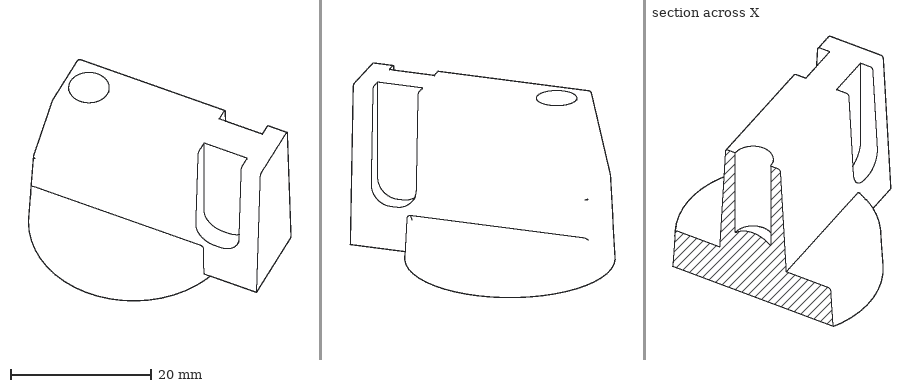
import cadquery as cq
import math

LENGTH = 37.03
HEIGHT = 25.5
BASE_RADIUS = 15.0
BASE_HEIGHT = 6.95
SIDE_DRAFT = math.tan(math.radians(3))
EDGE_ROUND = 0.48

GRIP_TOP_WIDTH = 9.07
GRIP_BOTTOM_Z = 1.4
NOSE_TOP_X = 4.22 - BASE_RADIUS
NOSE_SLOPE = math.tan(math.radians(12))

SLOT_START_X = 27.25 - BASE_RADIUS
SLOT_WIDTH = 6.78
SLOT_BOTTOM_Z = 7.92
SLOT_CORNER_RADIUS = 2.95
WEB_THICKNESS = 5.07

HOLE_X = 7.95 - BASE_RADIUS
HOLE_RADIUS = 2.9
HOLE_DEPTH = 14.8
DOME_RISE = 1.2
DOME_RADIUS = (HOLE_RADIUS**2 + DOME_RISE**2) / (2 * DOME_RISE)

GRIP_END_X = LENGTH - BASE_RADIUS
GRIP_BOTTOM_WIDTH = GRIP_TOP_WIDTH + 2 * (HEIGHT - GRIP_BOTTOM_Z) * SIDE_DRAFT


def drafted_disc(height):
    """Round body whose radius shrinks upward with the side draft."""
    top_radius = BASE_RADIUS - height * SIDE_DRAFT
    profile = [(0, 0), (BASE_RADIUS, 0), (top_radius, height), (0, height)]
    return cq.Workplane("XZ").polyline(profile).close().revolve(360, (0, 0, 0), (0, 1, 0))


def make_base():
    return drafted_disc(BASE_HEIGHT).faces(">Z").edges().fillet(EDGE_ROUND)


def make_grip():
    """Drafted bar with a sloped nose that blends into the round base wall."""
    section = [
        (-GRIP_BOTTOM_WIDTH / 2, GRIP_BOTTOM_Z),
        (GRIP_BOTTOM_WIDTH / 2, GRIP_BOTTOM_Z),
        (GRIP_TOP_WIDTH / 2, HEIGHT),
        (-GRIP_TOP_WIDTH / 2, HEIGHT),
    ]
    bar = (
        cq.Workplane("YZ").workplane(offset=-BASE_RADIUS)
        .polyline(section).close().extrude(LENGTH)
    )

    nose_foot_x = NOSE_TOP_X - HEIGHT * NOSE_SLOPE
    side_outline = [(nose_foot_x, 0), (NOSE_TOP_X, HEIGHT), (GRIP_END_X, HEIGHT), (GRIP_END_X, 0)]
    side_limit = (
        cq.Workplane("XZ").polyline(side_outline).close()
        .extrude(BASE_RADIUS, both=True)
    )

    rear_half = cq.Workplane("XY").box(
        GRIP_END_X, 2 * BASE_RADIUS, HEIGHT, centered=(False, True, False)
    )
    round_limit = drafted_disc(HEIGHT).union(rear_half)
    grip = bar.intersect(side_limit).intersect(round_limit)

    rounded_region = cq.selectors.BoxSelector(
        (-BASE_RADIUS, -BASE_RADIUS, GRIP_BOTTOM_Z + EDGE_ROUND),
        (GRIP_END_X - EDGE_ROUND, BASE_RADIUS, HEIGHT + EDGE_ROUND),
    )
    return grip.edges(rounded_region).fillet(EDGE_ROUND)


def make_slot(side):
    """Open-topped, round-cornered recess in one side of the grip (side is -1 or 1)."""
    slot_depth = BASE_RADIUS - WEB_THICKNESS / 2
    slot_height = HEIGHT - SLOT_BOTTOM_Z
    return (
        cq.Workplane("XY")
        .box(SLOT_WIDTH, slot_depth, slot_height, centered=(False, True, False))
        .edges("|Y and <Z").fillet(SLOT_CORNER_RADIUS)
        .translate((SLOT_START_X, side * (WEB_THICKNESS + slot_depth) / 2, SLOT_BOTTOM_Z))
    )


def make_hole():
    """Blind hole whose floor bulges upward as a shallow dome."""
    floor_z = HEIGHT - HOLE_DEPTH
    return (
        cq.Workplane("XZ")
        .moveTo(0, floor_z + DOME_RISE)
        .lineTo(0, HEIGHT)
        .lineTo(HOLE_RADIUS, HEIGHT)
        .lineTo(HOLE_RADIUS, floor_z)
        .radiusArc((0, floor_z + DOME_RISE), -DOME_RADIUS)
        .close()
        .revolve(360, (0, 0, 0), (0, 1, 0))
        .translate((HOLE_X, 0, 0))
    )


result = make_base().union(make_grip())
for side in (-1, 1):
    result = result.cut(make_slot(side))
result = result.cut(make_hole())